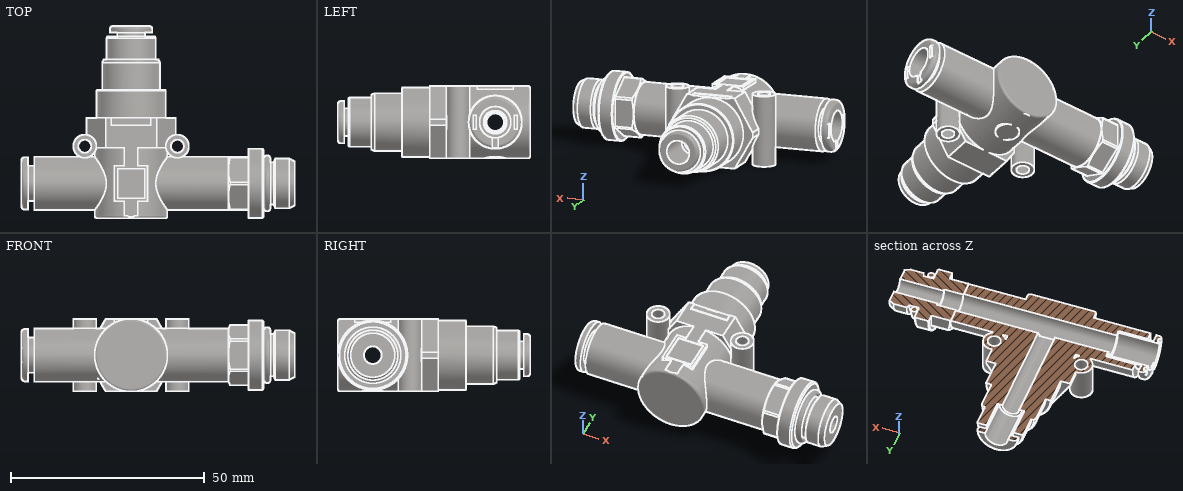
import cadquery as cq
import math


hub_dia = 18.8
hub_front = -9.05
hub_fillet = 0.7
block_height = 18.7
block_width = 23.1
block_corner_flat = 1.5
block_start = 9.25
block_end = 16.9
label_recess_width = 10.2
label_recess_length = 1.95
label_recess_depth = 0.2
port_steps = [
    (18.0, 24.15, 0.2, 0.2),
    (15.0, 32.0, 0.4, 0.85),
    (12.8, 37.95, 0.25, 0.45),
]

tube_dia = 13.8
tube_half_length = 25.05
run_bore_dia = 6.0
branch_bore_dia = 4.5

boss_dia = 6.0
boss_hole_dia = 3.3
boss_offset_x = 11.95
boss_y = 9.6

strip_width = 3.4
frame_width = 8.6
frame_length = 9.2
frame_depth = 0.9
frame_wall = 0.8
frame_recess_depth = 0.2
disc_dia = 6.2

sleeve_insertion = 8.0
run_sleeve_flange_dia = 13.6
run_sleeve_flange_thickness = 1.8
run_sleeve_fillet = 0.975
run_sleeve_neck_dia = 9.2
run_sleeve_bore_dia = 8.1
run_sleeve_end = 28.35
branch_sleeve_flange_dia = 11.0
branch_sleeve_flange_thickness = 1.75
branch_sleeve_fillet = 0.85
branch_sleeve_neck_dia = 7.2
branch_sleeve_bore_dia = 6.2
branch_sleeve_end = 40.65
key_slot_width = 1.5
key_slot_depth = 0.4
notch_inner = 4.85
notch_outer = 5.7
notch_height = 3.7
notch_depth = 0.7

hex_flats = 13.85
hex_turned_dia = 15.65
hex_chamfer_length = 0.5
hex_chamfer_radial = 1.1
collar_dia = 18.0
collar_start = 30.2
collar_end = 34.25
collar_back_chamfer = 0.2
collar_front_chamfer = 0.4
groove_dia = 11.0
groove_end = 36.8
thread_dia = 12.9
thread_start = 37.2
thread_chamfer_start = 40.8
thread_tip_dia = 11.4
stud_end = 42.25
stud_inlet_dia = 5.53
stud_bore_dia = 4.5

ring_section_dia = 1.75

block_half_height = block_height / 2
tan_30 = math.tan(math.radians(30))
block_top_half_width = block_width / 2 - (block_half_height - block_corner_flat / 2) * tan_30
port_end = port_steps[-1][1]


def rod_y(dia, start, end):
    """Cylinder along Y between two positions."""
    return cq.Workplane("XZ", origin=(0, start, 0)).circle(dia / 2).extrude(start - end)


def rod_x(dia, start, end):
    """Cylinder along X between two positions."""
    return cq.Workplane("YZ", origin=(start, 0, 0)).circle(dia / 2).extrude(end - start)


def block_between(x_range, y_range, z_range):
    """Rectangular block between pairs of coordinates."""
    size = [high - low for low, high in (x_range, y_range, z_range)]
    corner = (x_range[0], y_range[0], z_range[0])
    return cq.Workplane("XY").box(*size, centered=False).translate(corner)


def make_hub():
    """Round hub with one rounded end and flats level with the hexagonal block."""
    hub = rod_y(hub_dia, hub_front, block_start).faces("<Y").edges().fillet(hub_fillet)
    limit = cq.Workplane("XY").box(2 * hub_dia, 4 * hub_dia, block_height)
    return hub.intersect(limit)


def make_hex_block():
    """Hexagonal block with truncated side corners and a shallow label recess on top."""
    side = block_width / 2
    corner = block_corner_flat / 2
    half = block_top_half_width
    top = block_half_height
    outline = [
        (-side, corner), (-half, top), (half, top), (side, corner),
        (side, -corner), (half, -top), (-half, -top), (-side, -corner),
    ]
    block = cq.Workplane("XZ", origin=(0, block_start, 0)).polyline(outline).close()
    block = block.extrude(block_start - block_end)
    recess = block_between(
        (-label_recess_width / 2, label_recess_width / 2),
        (block_end - label_recess_length, block_end),
        (top - label_recess_depth, top),
    )
    return block.cut(recess)


def make_branch_port():
    """Stepped round port with a chamfer at the end of every step."""
    points = [(0, 0)]
    start = 0
    for dia, end, chamfer_radial, chamfer_length in port_steps:
        radius = dia / 2
        points += [(radius, start), (radius, end - chamfer_length), (radius - chamfer_radial, end)]
        start = end
    points.append((0, port_end))
    return cq.Workplane("XY").polyline(points).close().revolve(360, (0, 0, 0), (0, 1, 0))


def make_hub_marks():
    """Raised strip and framed label on top of the hub, round pad underneath."""
    strip = block_between(
        (-strip_width / 2, strip_width / 2),
        (hub_front + hub_fillet, block_start),
        (0, block_half_height),
    )
    frame = block_between(
        (-frame_width / 2, frame_width / 2),
        (-frame_length / 2, frame_length / 2),
        (block_half_height - frame_depth, block_half_height),
    )
    disc = cq.Workplane("XY").circle(disc_dia / 2).extrude(-block_half_height)
    return strip.union(frame).union(disc)


def make_housing():
    housing = make_hub().union(make_hex_block()).union(make_branch_port())
    housing = housing.union(rod_x(tube_dia, -tube_half_length, tube_half_length))
    housing = housing.union(make_hub_marks())

    boss_centres = [(-boss_offset_x, boss_y), (boss_offset_x, boss_y)]
    boss_plane = cq.Workplane("XY", origin=(0, 0, -block_half_height)).pushPoints(boss_centres)
    housing = housing.union(boss_plane.circle(boss_dia / 2).extrude(block_height))
    housing = housing.cut(boss_plane.circle(boss_hole_dia / 2).extrude(block_height))

    label_recess = cq.Workplane("XY", origin=(0, 0, block_half_height)).rect(
        frame_width - 2 * frame_wall, frame_length - 2 * frame_wall
    ).extrude(-frame_recess_depth)
    housing = housing.cut(label_recess)

    housing = housing.cut(rod_x(run_bore_dia, -tube_half_length, tube_half_length))
    housing = housing.cut(rod_y(branch_bore_dia, 0, port_end))
    housing = housing.cut(
        rod_x(run_sleeve_neck_dia, -tube_half_length, sleeve_insertion - tube_half_length)
    )
    housing = housing.cut(rod_y(branch_sleeve_neck_dia, port_end - sleeve_insertion, port_end))
    return housing


def make_run_sleeve():
    """Release sleeve in the end of the run tube, with a key slot and two tool notches."""
    face = -run_sleeve_end
    flange_back = face + run_sleeve_flange_thickness
    sleeve = rod_x(run_sleeve_flange_dia, face, flange_back)
    sleeve = sleeve.faces("<X").edges().fillet(run_sleeve_fillet)
    sleeve = sleeve.union(
        rod_x(run_sleeve_neck_dia, flange_back, sleeve_insertion - tube_half_length)
    )
    sleeve = sleeve.cut(rod_x(run_sleeve_bore_dia, face, 0))
    key_slot = block_between(
        (face, face + key_slot_depth),
        (-key_slot_width / 2, key_slot_width / 2),
        (-run_sleeve_flange_dia / 2, 0),
    )
    sleeve = sleeve.cut(key_slot)
    for y_range in ((notch_inner, notch_outer), (-notch_outer, -notch_inner)):
        notch = block_between(
            (face, face + notch_depth), y_range, (-notch_height / 2, notch_height / 2)
        )
        sleeve = sleeve.cut(notch)
    return sleeve


def make_branch_sleeve():
    """Release sleeve in the end of the branch port."""
    flange_back = branch_sleeve_end - branch_sleeve_flange_thickness
    sleeve = rod_y(branch_sleeve_flange_dia, flange_back, branch_sleeve_end)
    sleeve = sleeve.faces(">Y").edges().fillet(branch_sleeve_fillet)
    sleeve = sleeve.union(
        rod_y(branch_sleeve_neck_dia, port_end - sleeve_insertion, flange_back)
    )
    return sleeve.cut(rod_y(branch_sleeve_bore_dia, 0, branch_sleeve_end))


def make_stud():
    """Threaded stud with a hexagon, a collar and a groove for the O-ring."""
    hex_length = collar_start - tube_half_length
    hexagon = cq.Workplane("YZ", origin=(tube_half_length, 0, 0))
    hexagon = hexagon.polygon(6, hex_flats, circumscribed=True).extrude(hex_length)
    turned_radius = hex_turned_dia / 2
    turned_outline = [
        (tube_half_length, 0),
        (tube_half_length, turned_radius - hex_chamfer_radial),
        (tube_half_length + hex_chamfer_length, turned_radius),
        (collar_start, turned_radius),
        (collar_start, 0),
    ]
    turned = cq.Workplane("XY").polyline(turned_outline).close().revolve(360, (0, 0, 0), (1, 0, 0))
    hexagon = hexagon.intersect(turned)

    collar_radius = collar_dia / 2
    threaded_end = [
        (collar_start, 0),
        (collar_start, collar_radius - collar_back_chamfer),
        (collar_start + collar_back_chamfer, collar_radius),
        (collar_end - collar_front_chamfer, collar_radius),
        (collar_end, collar_radius - collar_front_chamfer),
        (collar_end, groove_dia / 2),
        (groove_end, groove_dia / 2),
        (thread_start, thread_dia / 2),
        (thread_chamfer_start, thread_dia / 2),
        (stud_end, thread_tip_dia / 2),
        (stud_end, 0),
    ]
    stud = cq.Workplane("XY").polyline(threaded_end).close().revolve(360, (0, 0, 0), (1, 0, 0))
    stud = stud.union(hexagon)
    stud = stud.cut(rod_x(stud_bore_dia, tube_half_length, stud_end))
    return stud.cut(rod_x(stud_inlet_dia, tube_half_length, collar_start))


def make_o_ring():
    """O-ring resting in the groove against the collar."""
    section_radius = ring_section_dia / 2
    section = cq.Workplane("XY").center(collar_end + section_radius, groove_dia / 2 + section_radius)
    section = section.circle(section_radius)
    axis_depth = -(groove_dia / 2 + section_radius)
    return section.revolve(360, (0, axis_depth, 0), (1, axis_depth, 0))


housing = make_housing()
run_sleeve = make_run_sleeve()
branch_sleeve = make_branch_sleeve()
stud = make_stud()
o_ring = make_o_ring()

result = cq.Compound.makeCompound(
    [housing.val(), run_sleeve.val(), branch_sleeve.val(), stud.val(), o_ring.val()]
)